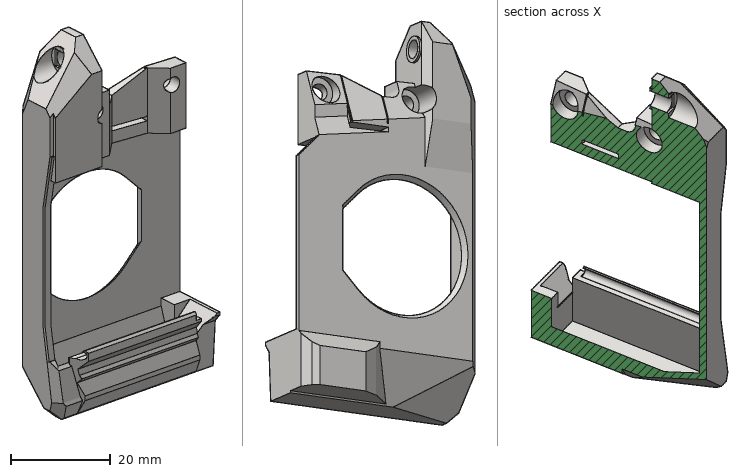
import cadquery as cq
import math

width = 17.57
depth = 41.6
height = 79.75
beyond = 200.0

plate_x = 3.81
plate_thickness = 1.2
plate_back = plate_x + plate_thickness
wall_thickness = 1.8
wall_edge_x = 12.1
wall_edge_chamfer = 0.3
front_bevel_x = 5.62
front_bevel_y = 2.68
corner_z = 48.5
tab_rear = 37.0
tab_front = 12.0
tab_base = 53.0

window_y = 17.45
window_z = 32.55
window_outer_radius = 14.75
window_inner_radius = 13.95
window_flat_y = 31.5

tab_top = 67.5
saddle_z = 63.6
tab_back = 12.45
web_rear = 29.5
web_front = 21.0
web_back_rear = 9.3
web_back_front = 8.4
front_tab_end = 17.0
rear_tab_start = 32.9
saddle_radius = 2.2
lean = 0.44
lean_tilt = 0.163
lean_start_z = 57.0
ledge_drop = 2.6
ledge_x = 5.56
web_groove_width = 0.25
web_groove_depth = 0.4
slit_bottom = 55.73
slit_top = 56.73
tab_holes = [(33.6, 63.65), (13.65, 63.65)]
tab_bore_d = 6.0
tab_hole_d = 3.4
tab_bore_floor = 9.6

lug_x = 2.61
lug_back = 14.87
lug_end = 13.1
lug_base = 52.6
lug_taper_bottom = 49.6
lug_taper_top = 59.4
lug_left_shoulder = 75.3
lug_top_left = 4.41
lug_top_right = 8.98
lug_bevel_z = 68.65
rear_bevel_y = 11.5
left_facet_z = 64.8
left_facet = [(lug_x, 6.9, 75.2), (lug_x, front_bevel_y, left_facet_z), (front_bevel_x, 0, left_facet_z)]
right_facet = [(11.02, 9.1, 77.75), (12.97, 0, 68.7), (14.7, 10.4, 74.1)]
flare_x = 14.23
flare_top = 58.4
flare_bottom = 46.5
lug_hole_x = 6.97
lug_hole_z = 74.46
lug_bore_d = 6.0
lug_hole_d = 3.8
lug_bore_floor = 9.0
bridge_depth = 0.5
lug_boss_d = 5.4
lug_boss_height = 0.45

foot_top = 12.69
foot_top_x = 13.72
foot_flare_top = 20.0
foot_flare_x = 14.8
foot_flare_z = 4.1
foot_facet_x = 14.2
foot_facet_z = 2.0
foot_side = [(15.4, 0), (16.0, 0.5), (16.75, 3.38), (16.45, foot_flare_z), (15.2, 10.9)]
foot_floor = 1.5
foot_skin = 1.2
undercut_z = 10.75
undercut_x = 7.4
toe_facet = [(front_bevel_x, 0, 8.8), (12.2, 0, 2.2), (undercut_x, 17.9, 0)]
front_toe = 2.1
rear_block_y = 36.9
rear_block_split_x = 9.1
rear_ramp_y = 40.8
rear_block_x = 17.2
rear_lip_y = 40.0

rail_x = 14.6
rail_front = 4.6
rail_end = 36.7
rail_corner_x = 14.9
rail_heel = (15.4, 0)
rail_waist = (16.07, 10.3)
rail_lip_root = (width, 12.1)
lip_foot_x = 16.43
groove_d = 1.8
groove_x = 16.5
groove_z = 13.3
groove_front = 5.6
groove_end = 35.5

bulge_top = 12.1
bulge_shoulder = 8.5
bulge_bottom = 0.4
bulge_side = [(3.0, depth), (0.8, 40.3), (0, 39.0), (0, 28.4), (2.0, 24.8)]
bulge_front_y = 19.5


def box(x0, x1, y0, y1, z0, z1):
    return cq.Workplane("XY").box(x1 - x0, y1 - y0, z1 - z0, centered=False).translate((x0, y0, z0))


def prism_xz(points, y0, y1):
    """Prism of an (x, z) outline from y0 to y1."""
    return cq.Workplane("XZ", origin=(0, y0, 0)).polyline(points).close().extrude(y0 - y1)


def prism_yz(points, x0, x1):
    """Prism of a (y, z) outline from x0 to x1."""
    return cq.Workplane("YZ", origin=(x0, 0, 0)).polyline(points).close().extrude(x1 - x0)


def prism_xy(points, z0, z1):
    return cq.Workplane("XY", origin=(0, 0, z0)).polyline(points).close().extrude(z1 - z0)


def rod_x(y, z, diameter, x0, x1):
    return cq.Workplane("YZ", origin=(x0, y, z)).circle(diameter / 2).extrude(x1 - x0)


def rod_y(x, z, diameter, y0, y1):
    return cq.Workplane("XZ", origin=(x, y0, z)).circle(diameter / 2).extrude(y0 - y1)


def half_space(a, b, c, outward, inset=0.0):
    """Block beyond the plane through a, b and c, on the side that outward points to."""
    start = cq.Vector(*a)
    normal = (cq.Vector(*b) - start).cross(cq.Vector(*c) - start).normalized()
    if normal.dot(cq.Vector(*outward)) < 0:
        normal = normal * -1
    plane = cq.Plane(origin=(start - normal * inset).toTuple(), normal=normal.toTuple())
    return cq.Workplane(plane).rect(2 * beyond, 2 * beyond).extrude(beyond)


def lean_plane(drop):
    """Region in front of the leaning face, which is moved down by drop."""
    z = lean_start_z - drop
    a = (plate_x, web_rear, z)
    b = (plate_x, web_rear - 1, z + lean_tilt)
    c = (plate_x + lean, web_rear, z + 1)
    return half_space(a, b, c, (-1, 0, 0))


def front_bevel():
    """Region outside the upright bevel between the plate and the front wall."""
    a = (front_bevel_x, 0, 0)
    b = (front_bevel_x, 0, 1)
    c = (lug_x, front_bevel_y, 0)
    return half_space(a, b, c, (-1, -1, 0))


def undercut(inset=0.0):
    """Region below the sloping underside next to the plate."""
    a = (plate_x, 0, undercut_z)
    b = (plate_x, 1, undercut_z)
    c = (undercut_x, 0, 0)
    return half_space(a, b, c, (-1, 0, -1), inset)


def toe_cut(inset=0.0):
    """Region below the oblique facet under the front of the foot."""
    return half_space(*toe_facet, (-1, -1, -1), inset)


def make_plate():
    corner_top = corner_z + depth - tab_rear
    outline = [(0, 0), (depth, 0), (depth, corner_z), (tab_rear, corner_top), (tab_rear, slit_bottom),
               (0, slit_bottom)]
    return prism_yz(outline, plate_x, plate_back)


def make_front_wall():
    outline = [(plate_x, 0), (foot_flare_x, 0), (foot_flare_x, foot_flare_z), (wall_edge_x, foot_flare_top),
               (wall_edge_x, flare_bottom), (flare_x, flare_top), (plate_x, flare_top)]
    outline = [(x + wall_edge_chamfer if x > plate_x else x, z) for x, z in outline]
    wall = prism_xz(outline, 0, wall_thickness)
    edges = cq.selectors.BoxSelector((wall_edge_x, -0.1, 1), (width, 0.1, flare_top - 1))
    return wall.edges(edges).chamfer(wall_edge_chamfer)


def make_tabs():
    outline = (cq.Workplane("YZ", origin=(plate_x, 0, 0))
               .moveTo(tab_front, tab_base).lineTo(tab_rear, tab_base).lineTo(tab_rear, tab_top)
               .lineTo(web_rear, tab_top).lineTo(web_front, saddle_z)
               .lineTo(front_tab_end + saddle_radius, saddle_z)
               .radiusArc((front_tab_end, saddle_z + saddle_radius), saddle_radius)
               .lineTo(front_tab_end, tab_top).lineTo(tab_front, tab_top).close())
    tabs = outline.extrude(tab_back - plate_x)
    relief = [(tab_back, rear_tab_start), (web_back_rear, web_rear), (web_back_front, web_front),
              (tab_back, front_tab_end)]
    tabs = tabs.cut(prism_xy(relief, 0, height))
    tabs = tabs.cut(lean_plane(0))
    return tabs.cut(make_web_grooves())


def make_web_grooves():
    """Two shallow upright grooves that set the web off from the tabs."""
    rear = box(0, tab_back, web_rear - web_groove_width, web_rear, slit_bottom, height)
    front = box(0, tab_back, web_front, web_front + web_groove_width, slit_bottom, height)
    return rear.union(front).intersect(lean_plane(web_groove_depth / lean))


def make_ledge():
    """Space in front of the lower leaning face, behind the rear tab and below the web."""
    ledge = box(0, ledge_x, web_rear, depth, 0, height)
    ledge = ledge.union(box(0, ledge_x, web_front, web_rear, 0, slit_top))
    return ledge.intersect(lean_plane(ledge_drop))


def make_lug():
    outline = [(plate_x, lug_taper_bottom), (lug_x, lug_taper_top), (lug_x, lug_left_shoulder),
               (lug_top_left, height), (lug_top_right, height),
               (lug_back, height - (lug_back - lug_top_right)), (lug_back, lug_base),
               (plate_back, lug_base), (plate_back, lug_taper_bottom)]
    lug = prism_xz(outline, 0, lug_end)
    lug = lug.cut(half_space((0, 0, lug_bevel_z), (1, 0, lug_bevel_z), (0, 1, lug_bevel_z + 1), (0, -1, 1)))
    lug = lug.cut(half_space(*left_facet, (-1, -1, 1)))
    lug = lug.cut(half_space(*right_facet, (1, -1, 1)))
    rear_edge = (lug_x, rear_bevel_y, 0)
    lug = lug.cut(half_space(rear_edge, (lug_x, rear_bevel_y, 1), (lug_top_left, lug_end, 0), (-1, 1, 0)))
    setback = [(lug_back, height), (flare_x, height), (flare_x, flare_top), (wall_edge_x, flare_bottom),
               (lug_back, flare_bottom)]
    lug = lug.cut(prism_xz(setback, 0, wall_thickness / 2))
    boss = rod_y(lug_hole_x, lug_hole_z, lug_boss_d, lug_end, lug_end + lug_boss_height)
    return lug.union(boss)


def foot_facet():
    """Region beyond the oblique facet at the lower right of the foot."""
    a = (foot_flare_x, 0, foot_flare_z)
    b = (foot_flare_x + 1, 1, foot_flare_z)
    c = (foot_facet_x, 0, foot_facet_z)
    return half_space(a, b, c, (1, -1, -1))


def make_foot():
    outline = [(plate_x, 0)] + foot_side + [(foot_top_x, foot_top), (plate_x, foot_top)]
    foot = prism_xz(outline, 0, rail_end)
    corner = half_space((wall_edge_x, 0, foot_flare_top), (foot_flare_x, 0, foot_flare_z),
                        (wall_edge_x + 1, 1, foot_flare_top), (1, -1, 0))
    foot = foot.cut(corner).cut(foot_facet())
    pocket = box(plate_back, rail_x, wall_thickness, rear_block_y, foot_floor, height)
    pocket = pocket.cut(undercut(foot_skin)).cut(toe_cut(foot_skin))
    return foot.union(make_rail()).cut(pocket).union(make_rear_block())


def make_rail():
    outline = [(rail_x, 0), rail_heel, (16.0, 0.5), (17.09, 3.38), (17.09, 4.43), (15.98, 7.29), (16.67, 8.19),
               (16.28, 8.94), rail_waist, rail_lip_root, (width, 13.9), (17.03, 14.5), (16.73, 14.2),
               (16.73, 13.3), (lip_foot_x, foot_top), (rail_x, foot_top)]
    rail = prism_xz(outline, rail_front, rail_end)
    rail = rail.cut(rod_y(groove_x, groove_z, groove_d, groove_front, groove_end))
    rail = rail.cut(box(lip_foot_x, width, groove_end, rail_end, foot_top, height))
    tip = (rail_corner_x, rail_front, 0)
    corner = half_space(tip, (rail_corner_x, rail_front, 1), (rail_corner_x + 1, rail_front + 1, 0), (1, -1, 0))
    return rail.cut(corner)


def make_rear_block():
    ramp_z = foot_top - (rear_ramp_y - rear_block_y)
    flat = box(plate_x, rear_block_split_x, rail_end, depth, 0, foot_top)
    outline = [(rail_end, 0), (rail_end, ramp_z), (rear_block_y, ramp_z), (rear_ramp_y, foot_top),
               (depth, foot_top), (depth, 0)]
    ramp = prism_yz(outline, rear_block_split_x, width)
    notch = box(rear_block_x, width, rail_end, rear_lip_y, 0, height)
    under = prism_xz([rail_heel, rail_waist, rail_lip_root, (width, 0)], rail_end, depth)
    return flat.union(ramp.cut(notch).cut(under))


def make_bulge():
    plan = [(undercut_x, depth)] + bulge_side + [(undercut_x, bulge_front_y)]
    bulge = prism_xy(plan, bulge_bottom, bulge_top)
    bulge = bulge.intersect(undercut(foot_skin))
    top_edge = (plate_x, 0, bulge_top)
    return bulge.cut(half_space(top_edge, (plate_x, 1, bulge_top), (0, 0, bulge_shoulder), (-1, 0, 1)))


def window_outline(x, radius):
    """Circle with 45 degree tangents on the +Y side, cut off by a flat."""
    tangent = radius * math.sqrt(0.5)
    flat_half = 2 * tangent - (window_flat_y - window_y)
    return (cq.Workplane("YZ", origin=(x, window_y, window_z))
            .moveTo(window_flat_y - window_y, flat_half).lineTo(tangent, tangent)
            .threePointArc((-radius, 0), (tangent, -tangent))
            .lineTo(window_flat_y - window_y, -flat_half).close().val())


def make_window():
    wires = [window_outline(plate_x, window_outer_radius), window_outline(plate_back, window_inner_radius)]
    return cq.Workplane(cq.Solid.makeLoft(wires, True))


def make_lug_hole():
    bore = rod_y(lug_hole_x, lug_hole_z, lug_bore_d, -1, lug_bore_floor)
    half = lug_hole_d / 2
    bridge = box(lug_hole_x - half, lug_hole_x + half, lug_bore_floor, lug_bore_floor + bridge_depth,
                 lug_hole_z - half, lug_hole_z + half)
    hole = rod_y(lug_hole_x, lug_hole_z, lug_hole_d, lug_bore_floor, lug_end + 1)
    return bore.union(bridge).union(hole)


body = make_plate().union(make_front_wall()).union(make_foot())
front_facet = box(0, width, 0, wall_thickness, 0, foot_flare_z).intersect(foot_facet())
body = body.cut(front_facet).cut(undercut()).cut(toe_cut())
body = body.cut(half_space((0, front_toe, 0), (1, front_toe, 0), (0, 0, front_toe), (0, -1, -1)))
body = body.union(make_tabs()).cut(make_ledge()).union(make_lug()).cut(front_bevel())
body = body.union(make_bulge()).cut(make_window()).cut(make_lug_hole())
for y, z in tab_holes:
    body = body.cut(rod_x(y, z, tab_bore_d, 0, tab_bore_floor)).cut(rod_x(y, z, tab_hole_d, 0, width))
body = body.cut(box(0, width, web_front, web_rear, slit_bottom, slit_top))

result = cq.Workplane(body.val())